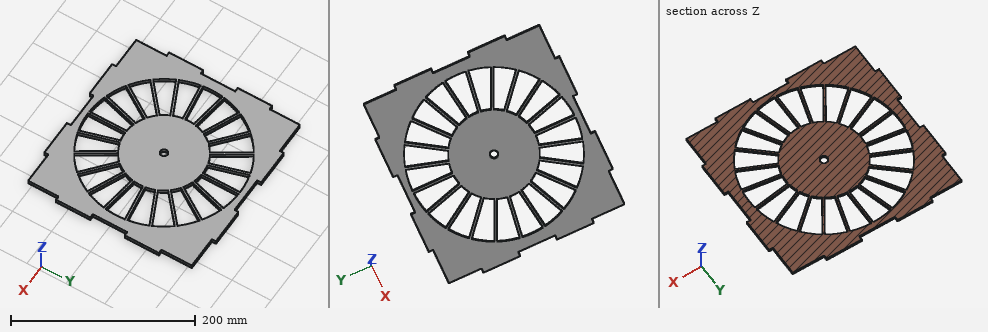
import cadquery as cq

overall_x = 230.0
overall_y = 220.0
thickness = 5.0

tab_depth = thickness
panel_x = overall_x - 2 * tab_depth
panel_y = overall_y - 2 * tab_depth

steps_per_side = 5
tab_width_x = overall_x / steps_per_side
tab_width_y = overall_y / steps_per_side

opening_radius = 97.5
hub_radius = 50.0
shaft_hole_diameter = 9.0
spoke_count = 22
spoke_width = 3.0
spoke_shift = spoke_width / 2
spoke_overlap = 2.3


def plate(size_x, size_y):
    """Flat plate centred on the Z axis with its bottom at Z = 0."""
    return cq.Workplane("XY").rect(size_x, size_y).extrude(thickness)


def disc(radius):
    """Flat disc centred on the Z axis with its bottom at Z = 0."""
    return cq.Workplane("XY").circle(radius).extrude(thickness)


def tabbed_panel():
    """Rectangular panel with two tabs on each of its four sides."""
    panel = plate(panel_x, panel_y)
    for side in (-1, 1):
        strip_along_y = plate(tab_width_x, overall_y).translate((side * tab_width_x, 0, 0))
        strip_along_x = plate(overall_x, tab_width_y).translate((0, side * tab_width_y, 0))
        panel = panel.union(strip_along_y).union(strip_along_x)
    return panel


def spoke(angle):
    """Straight spoke from hub to rim, turned by angle from the +Y direction."""
    length = opening_radius - hub_radius + 2 * spoke_overlap
    middle_radius = (opening_radius + hub_radius) / 2
    bar = plate(spoke_width, length).translate((spoke_shift, middle_radius, 0))
    return bar.rotate((0, 0, 0), (0, 0, 1), angle)


result = tabbed_panel().cut(disc(opening_radius)).union(disc(hub_radius))
for index in range(spoke_count):
    result = result.union(spoke(index * 360 / spoke_count))

result = result.cut(disc(shaft_hole_diameter / 2))